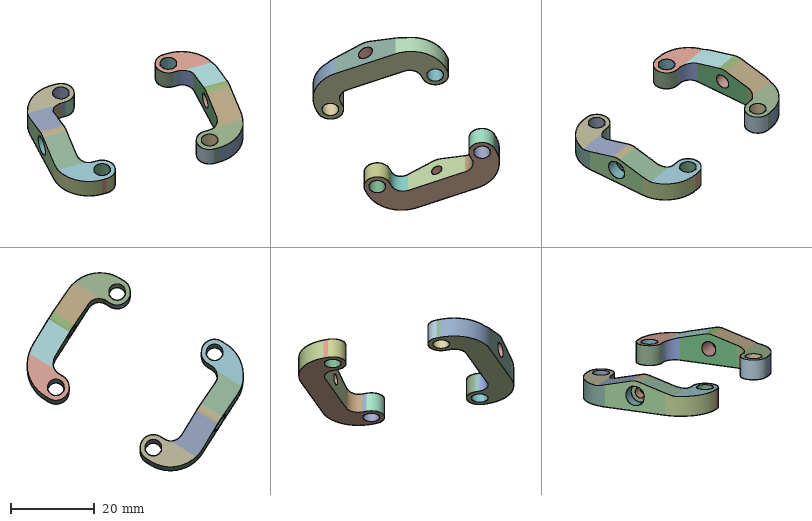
import cadquery as cq
import math

pair_length = 47.9
bracket_width = 33.8
peak_height = 7.55

lug_width = 6.35
lug_radius = lug_width / 2
bracket_depth = 13.35
bar_depth = 6.05
outer_corner_radius = 9.0
inner_corner_radius = 3.0
lug_hole_diameter = 3.98

lug_height = 5.0
slope_angle = math.radians(15)
ridge_radius = 4.0

screw_hole_diameter = 2.7
counterbore_diameter = 4.8
counterbore_depth = 2.95
insert_hole_diameter = 3.65
cross_hole_height = 3.85

half_width = bracket_width / 2
outer_face_y = -pair_length / 2
inner_face_y = outer_face_y + bar_depth
lug_tip_y = outer_face_y + bracket_depth
lug_center_y = lug_tip_y - lug_radius
lug_center_x = half_width - lug_radius
lug_inner_x = half_width - lug_width


def corner_arc_point(center_x, center_y, radius, side):
    """Middle of a quarter arc below its center, on the given X side."""
    offset = radius * math.cos(math.pi / 4)
    return (center_x + side * offset, center_y - offset)


def make_plan_prism():
    """U-shaped outline with round lugs, extruded to the peak height."""
    outer_x = half_width - outer_corner_radius
    outer_y = outer_face_y + outer_corner_radius
    inner_x = lug_inner_x - inner_corner_radius
    inner_y = inner_face_y + inner_corner_radius
    outer_right = corner_arc_point(outer_x, outer_y, outer_corner_radius, 1)
    outer_left = corner_arc_point(-outer_x, outer_y, outer_corner_radius, -1)
    inner_right = corner_arc_point(inner_x, inner_y, inner_corner_radius, 1)
    inner_left = corner_arc_point(-inner_x, inner_y, inner_corner_radius, -1)
    return (
        cq.Workplane("XY")
        .moveTo(-outer_x, outer_face_y)
        .lineTo(outer_x, outer_face_y)
        .threePointArc(outer_right, (half_width, outer_y))
        .lineTo(half_width, lug_center_y)
        .threePointArc((lug_center_x, lug_tip_y), (lug_inner_x, lug_center_y))
        .lineTo(lug_inner_x, inner_y)
        .threePointArc(inner_right, (inner_x, inner_face_y))
        .lineTo(-inner_x, inner_face_y)
        .threePointArc(inner_left, (-lug_inner_x, inner_y))
        .lineTo(-lug_inner_x, lug_center_y)
        .threePointArc((-lug_center_x, lug_tip_y), (-half_width, lug_center_y))
        .lineTo(-half_width, outer_y)
        .threePointArc(outer_left, (-outer_x, outer_face_y))
        .close()
        .extrude(peak_height)
    )


def make_roof_profile():
    """Front profile with flat lugs, sloped roof and rounded ridge, as deep as the bracket."""
    ridge_x = ridge_radius * math.sin(slope_angle)
    ridge_z = peak_height - ridge_radius * (1 - math.cos(slope_angle))
    slope_foot_x = ridge_x + (ridge_z - lug_height) / math.tan(slope_angle)
    return (
        cq.Workplane("XZ", origin=(0, outer_face_y, 0))
        .moveTo(-half_width, 0)
        .lineTo(half_width, 0)
        .lineTo(half_width, lug_height)
        .lineTo(slope_foot_x, lug_height)
        .lineTo(ridge_x, ridge_z)
        .threePointArc((0, peak_height), (-ridge_x, ridge_z))
        .lineTo(-slope_foot_x, lug_height)
        .lineTo(-half_width, lug_height)
        .close()
        .extrude(-bracket_depth)
    )


def make_lug_holes():
    """Vertical cutters through both lugs."""
    return (
        cq.Workplane("XY")
        .pushPoints([(-lug_center_x, lug_center_y), (lug_center_x, lug_center_y)])
        .circle(lug_hole_diameter / 2)
        .extrude(lug_height)
    )


def make_bracket_blank():
    """Bracket with its lug holes, before the cross hole is cut."""
    blank = make_plan_prism().intersect(make_roof_profile())
    return blank.cut(make_lug_holes())


def make_cross_cutter(diameter, depth):
    """Horizontal cylinder running inward from the outer face of the bar."""
    outer_face = cq.Workplane("XZ", origin=(0, outer_face_y, cross_hole_height))
    return outer_face.circle(diameter / 2).extrude(-depth)


def make_screw_bracket():
    """Bracket on the -Y side, with a counterbored screw hole."""
    screw_hole = make_cross_cutter(screw_hole_diameter, bar_depth)
    counterbore = make_cross_cutter(counterbore_diameter, counterbore_depth)
    return make_bracket_blank().cut(screw_hole).cut(counterbore)


def make_insert_bracket():
    """Bracket on the +Y side, with a plain wider hole, turned to face the other."""
    insert_hole = make_cross_cutter(insert_hole_diameter, bar_depth)
    bracket = make_bracket_blank().cut(insert_hole)
    return bracket.rotate((0, 0, 0), (0, 0, 1), 180)


screw_bracket = make_screw_bracket().solids()
insert_bracket = make_insert_bracket().solids()

result = cq.Compound.makeCompound([screw_bracket.val(), insert_bracket.val()])